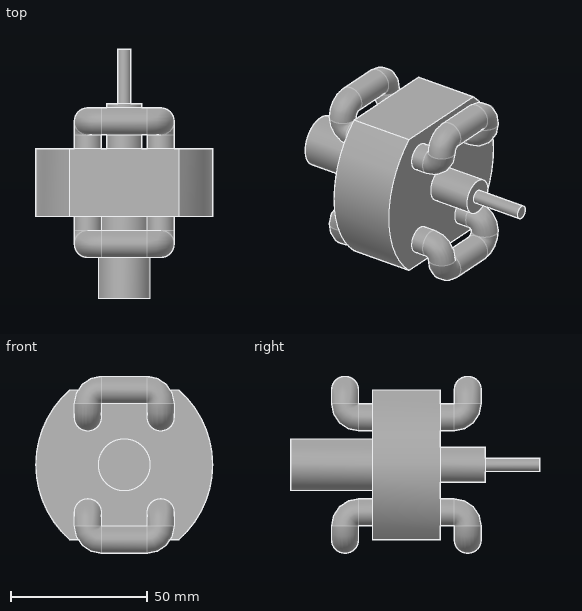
import cadquery as cq

body_width = 65.0
flat_width = 40.0
flat_to_flat = 55.0
body_length = 25.0

front_shaft_diameter = 19.0
front_shaft_length = 30.0
rear_shaft_diameter = 13.0
rear_shaft_length = 16.5
tip_diameter = 4.9
overall_length = 91.5
tip_length = overall_length - body_length - front_shaft_length - rear_shaft_length

bar_diameter = 10.0
bar_radius = bar_diameter / 2
bend_radius = 5.0
leg_spacing = 26.7
handle_span = 65.0
handle_height = handle_span / 2 - bar_radius
leg_height = handle_height - 2 * bend_radius
leg_length = bar_radius

body_half = body_length / 2
leg_x = leg_spacing / 2
bend_y = -body_half - leg_length


def rod(diameter, start, direction, length):
    """Straight round rod from a start point along a direction."""
    plane = cq.Plane(origin=start, normal=direction)
    return cq.Workplane(plane).circle(diameter / 2).extrude(length)


def quarter_bend(start, direction, turn_toward):
    """Round bar that leaves along one direction and turns 90 degrees toward another."""
    plane = cq.Plane(origin=start, xDir=turn_toward, normal=direction)
    section = cq.Workplane(plane).circle(bar_radius)
    return section.revolve(90, (bend_radius, 0), (bend_radius, 1))


def make_body():
    side_x = body_width / 2
    corner_x = flat_width / 2
    corner_z = flat_to_flat / 2
    outline = (
        cq.Workplane("XZ")
        .moveTo(-corner_x, corner_z)
        .lineTo(corner_x, corner_z)
        .threePointArc((side_x, 0), (corner_x, -corner_z))
        .lineTo(-corner_x, -corner_z)
        .threePointArc((-side_x, 0), (-corner_x, corner_z))
        .close()
    )
    return outline.extrude(body_half, both=True)


def make_handle():
    """Upper front handle: two legs, each bent up and then inward to meet the crossbar."""
    leg = rod(bar_diameter, (leg_x, -body_half, leg_height), (0, -1, 0), leg_length)
    lower_bend = quarter_bend((leg_x, bend_y, leg_height), (0, -1, 0), (0, 0, 1))
    upper_start = (leg_x, bend_y - bend_radius, leg_height + bend_radius)
    upper_bend = quarter_bend(upper_start, (0, 0, 1), (-1, 0, 0))
    crossbar_start = (leg_x - bend_radius, bend_y - bend_radius, handle_height)
    half_crossbar = rod(bar_diameter, crossbar_start, (-1, 0, 0), leg_x - bend_radius)
    half = leg.union(lower_bend).union(upper_bend).union(half_crossbar)
    return half.union(half.mirror("YZ"))


result = make_body()

rear_shoulder_y = body_half + rear_shaft_length
result = result.union(rod(front_shaft_diameter, (0, -body_half, 0), (0, -1, 0), front_shaft_length))
result = result.union(rod(rear_shaft_diameter, (0, body_half, 0), (0, 1, 0), rear_shaft_length))
result = result.union(rod(tip_diameter, (0, rear_shoulder_y, 0), (0, 1, 0), tip_length))

upper_front_handle = make_handle()
lower_front_handle = upper_front_handle.mirror("XY")
for handle in (upper_front_handle, lower_front_handle):
    result = result.union(handle).union(handle.mirror("XZ"))